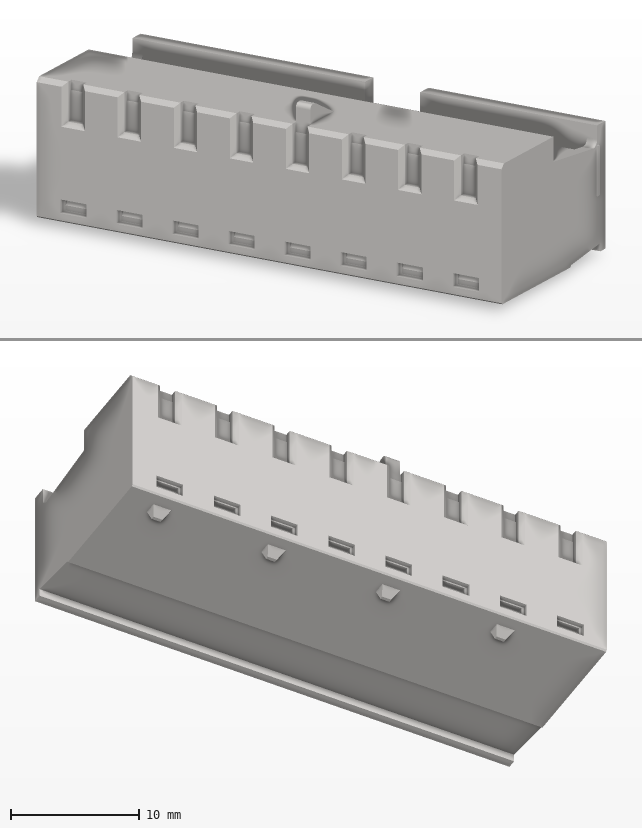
import cadquery as cq
import math


pole_count = 8
pole_row_span = 35.55
pole_pitch = pole_row_span / (pole_count - 1)
pole_row_center_x = 0.05
pole_positions = [
    pole_row_center_x - pole_row_span / 2 + i * pole_pitch for i in range(pole_count)
]

overall_length = 42.25
side_rib_height = 0.13
length = overall_length - side_rib_height
depth = 15.95
height = 11.55
top_edge_chamfer = 0.4
bottom_edge_chamfer = 0.13
ledge_slope = 1 / 9
step_y = depth / 2
step_base_z = 9.45
rear_wall_thickness = 1.25
rear_wall_y = depth - rear_wall_thickness
rear_wall_top_z = 10.5
ledge_fillet = 0.55
foot_y = 15.2
foot_recess_z = 0.68
underside_slope_start_y = 10.75
underside_step = 0.15
underside_step_run = 0.15

trough_width = 1.9
trough_depth = 0.75
trough_end_wall = 0.95
notch_width = 5.0
notch_floor_z = 8.57

slot_width = 1.35
slot_depth = 0.95
slot_bottom_z = 8.25
slot_chamfer = 0.4
contact_top_drop = 0.85
contact_top_z = height - contact_top_drop
contact_thickness = 0.13

window_width = 2.35
window_bottom_z = 0.7
window_height = 1.15
window_depth = 0.42
inner_width = 1.95
inner_margin = 0.13
sill_setback = 0.065
sill_height = 0.42
sill_slope = math.radians(50)

hook_pole = 4
hook_width = 1.3
hook_offset = -0.05
hook_height = 1.55
hook_front_y = slot_depth
hook_flat_end_y = 1.65
hook_back_y = 4.55
hook_radius = 0.4

catch_spacing = 2
catch_height = 0.55
catch_back_y = 2.3
catch_front_y = 1.22
catch_tip_depth = 0.3
catch_base_width = 1.6
catch_tip_width = 0.8

pip_radius = 0.15
pip_height = 0.13
pip_z = 7.75
side_rib_thickness = 0.35
side_rib_y = 14.75
side_rib_bottom_z = 4.75
side_rib_top_z = 8.85


def ledge_z(y):
    """Height of the ledge that falls from the step towards the rear wall."""
    return step_base_z - (y - step_y) * ledge_slope


def extrude_along_x(points, width, x_center=0):
    """Solid of the given width in X, with its outline given as (y, z) points."""
    return (
        cq.Workplane("YZ", origin=(x_center, 0, 0))
        .polyline(points)
        .close()
        .extrude(width / 2, both=True)
    )


def block(x_center, width, y_range, z_range):
    """Box centred in X between two Y values and two Z values."""
    y_size = y_range[1] - y_range[0]
    z_size = z_range[1] - z_range[0]
    return cq.Workplane("XY", origin=(x_center, y_range[0], z_range[0])).box(
        width, y_size, z_size, centered=(True, False, False)
    )


def make_housing():
    """Profile of the housing along its whole length, rounded where the ledge meets the rear wall."""
    outline = [
        (bottom_edge_chamfer, 0),
        (underside_slope_start_y - underside_step_run, 0),
        (underside_slope_start_y, underside_step),
        (foot_y, foot_recess_z),
        (foot_y, 0),
        (depth, 0),
        (depth, rear_wall_top_z),
        (rear_wall_y, rear_wall_top_z),
        (rear_wall_y, ledge_z(rear_wall_y)),
        (step_y, step_base_z),
        (step_y, height),
        (top_edge_chamfer, height),
        (0, height - top_edge_chamfer),
        (0, bottom_edge_chamfer),
    ]
    inner_corner = cq.selectors.NearestToPointSelector((0, rear_wall_y, ledge_z(rear_wall_y)))
    return extrude_along_x(outline, length).edges("|X").edges(inner_corner).fillet(ledge_fillet)


def make_trough():
    """Cut of constant depth below the sloping ledge, closed at both ends."""
    front_y = rear_wall_y - trough_width
    outline = [
        (front_y, ledge_z(front_y) - trough_depth),
        (rear_wall_y, ledge_z(rear_wall_y) - trough_depth),
        (rear_wall_y, height),
        (front_y, height),
    ]
    return extrude_along_x(outline, length - 2 * trough_end_wall)


def make_notch():
    """Gap through the rear wall whose floor is parallel to the ledge."""
    floor_drop = rear_wall_thickness * ledge_slope
    outline = [
        (rear_wall_y, notch_floor_z),
        (depth, notch_floor_z - floor_drop),
        (depth, height),
        (rear_wall_y, height),
    ]
    return extrude_along_x(outline, notch_width, pole_row_center_x + notch_width / 2)


def make_slot(x):
    """Slot open to the front and top, its mouth flared at 45 degrees, with a contact at its back."""
    upper = block(x, slot_width, (0, slot_depth), (contact_top_z, height))
    lower = block(x, slot_width, (0, slot_depth - contact_thickness), (slot_bottom_z, contact_top_z))
    flare_bottom_z = slot_bottom_z - slot_chamfer
    flare_top_z = height + slot_chamfer
    flare = (
        cq.Workplane("ZX", origin=(x, 0, 0))
        .center((flare_bottom_z + flare_top_z) / 2, 0)
        .rect(flare_top_z - flare_bottom_z, slot_width + 2 * slot_chamfer)
        .extrude(slot_chamfer, taper=45)
    )
    return upper.union(lower).union(flare)


def make_window(x):
    """Rectangular window with a smaller opening behind it that ends on a sloping sill."""
    window_top_z = window_bottom_z + window_height
    outer = block(x, window_width, (0, window_depth), (window_bottom_z, window_top_z))
    inner_bottom_z = window_bottom_z + inner_margin
    inner_top_z = window_top_z - inner_margin
    sill_y = window_depth + sill_setback
    sill_z = inner_bottom_z + sill_height
    slope_end_y = sill_y + (inner_top_z - sill_z) / math.tan(sill_slope)
    inner = extrude_along_x(
        [
            (window_depth, inner_bottom_z),
            (sill_y, inner_bottom_z),
            (sill_y, sill_z),
            (slope_end_y, inner_top_z),
            (window_depth, inner_top_z),
        ],
        inner_width,
        x,
    )
    return outer.union(inner)


def make_hook():
    """Upright hook flush with the back of one slot, sloping down to the top face behind."""
    hook_top_z = height + hook_height
    hook = extrude_along_x(
        [
            (hook_front_y, height),
            (hook_front_y, hook_top_z),
            (hook_flat_end_y, hook_top_z),
            (hook_back_y, height),
        ],
        hook_width,
        pole_positions[hook_pole] + hook_offset,
    )
    front_top_edge = cq.selectors.NearestToPointSelector(
        (pole_positions[hook_pole], hook_front_y, hook_top_z)
    )
    return hook.edges("|X").edges(front_top_edge).fillet(hook_radius)


def make_catch(x):
    """Wedge under the housing, steep at the rear, sloping at the front and at both ends."""
    wedge = extrude_along_x(
        [
            (catch_front_y, 0),
            (catch_back_y - catch_tip_depth, -catch_height),
            (catch_back_y, -catch_height),
            (catch_back_y, 0),
        ],
        catch_base_width,
        x,
    )
    tapered_ends = (
        cq.Workplane("XZ", origin=(x, 0, 0))
        .polyline(
            [
                (-catch_base_width / 2, 0),
                (catch_base_width / 2, 0),
                (catch_tip_width / 2, -catch_height),
                (-catch_tip_width / 2, -catch_height),
            ]
        )
        .close()
        .extrude(-depth)
    )
    return wedge.intersect(tapered_ends)


def make_pip(x):
    """Small round pip on the outside of the rear wall."""
    return (
        cq.Workplane("XZ", origin=(x, depth, pip_z))
        .circle(pip_radius)
        .extrude(-pip_height)
    )


def make_side_rib():
    """Thin upright rib on the +X end face."""
    return block(
        (length + side_rib_height) / 2,
        side_rib_height,
        (side_rib_y - side_rib_thickness / 2, side_rib_y + side_rib_thickness / 2),
        (side_rib_bottom_z, side_rib_top_z),
    )


result = make_housing().cut(make_trough()).cut(make_notch())
for x in pole_positions:
    result = result.cut(make_slot(x)).cut(make_window(x)).union(make_pip(x))
for x in pole_positions[::catch_spacing]:
    result = result.union(make_catch(x))
result = result.union(make_hook()).union(make_side_rib())